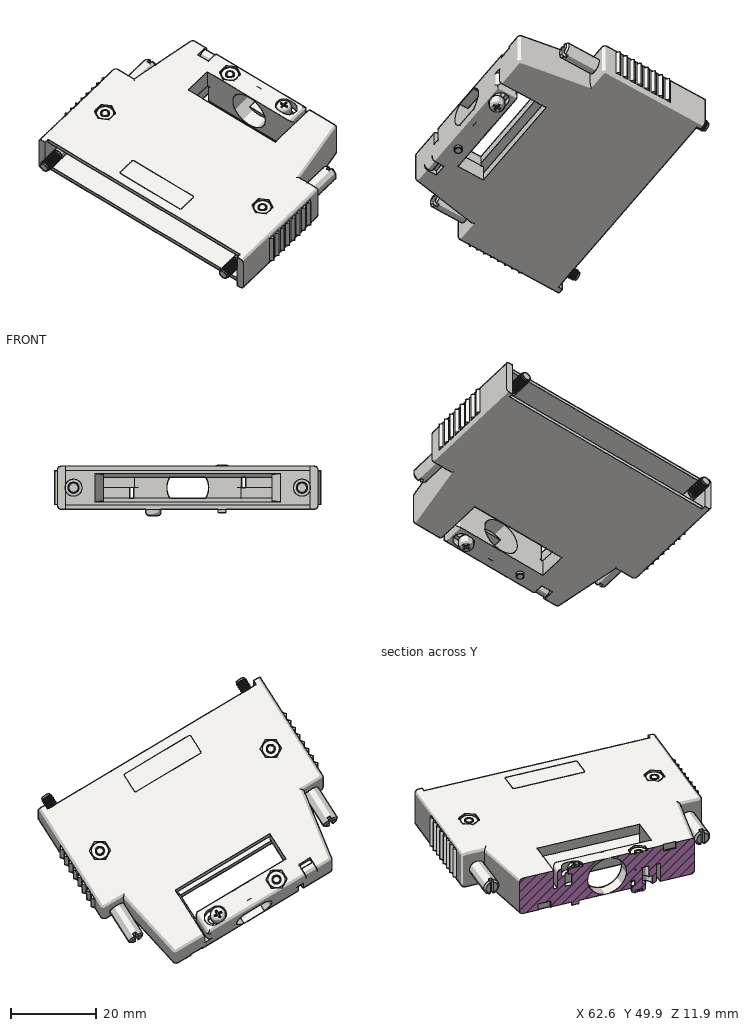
import cadquery as cq
import math


HALF_WIDTH = 30.65
LENGTH = 47.0
THICKNESS = 10.2
SHOULDER_Y = 28.9
NECK_HALF_WIDTH_FRONT = 24.95
NECK_HALF_WIDTH_BACK = 21.8
EDGE_RADIUS = 1.0
SPLIT_Z = THICKNESS / 2

LIP_LENGTH = 1.1
MOUTH_HALF_WIDTH = 28.8
PLATE_THICKNESS = 1.05
PARTITION_Y = 7.45

CAVITY_HALF_WIDTH_FRONT = 21.8
CAVITY_HALF_WIDTH_BACK = 19.85
CAVITY_HALF_HEIGHT_FRONT = 3.3
CAVITY_HALF_HEIGHT_BACK = 2.45
CAVITY_MOUTH_LENGTH = 2.0
CAVITY_SLOPE_LENGTH = 7.2
CAVITY_FLANK_LENGTH = 5.6

WINDOW_FRONT_Y = 33.65
WINDOW_BACK_Y = 40.85
WINDOW_FIXED_X = 12.5
WINDOW_OPEN_X = 13.6
BRIDGE_END_X = 12.7
CABLE_DIAMETER = 9.75
CABLE_LAND_LENGTH = 2.3
CABLE_LAND_Z = 1.1

NOTCH_X = -15.95
NOTCH_WIDTH = 3.1
NOTCH_LENGTH = 3.4
NOTCH_DEPTH = 1.7
SNAP_RADIUS = 1.25

GRIP_REACH = 31.3
GRIP_BASE = 1.5
GRIP_COUNT = 8
GRIP_PITCH = 2.0
GRIP_FIRST_Y = 10.7
GRIP_BOTTOM_Z = 1.1
GRIP_TOP_Z = 9.15

JACK_X = 26.85
JACK_HEAD_DIAMETER = 3.9
JACK_HEAD_END_Y = 37.9
JACK_HEAD_CHAMFER = 0.45
JACK_SLOT_WIDTH = 0.8
JACK_SLOT_DEPTH = 1.2
JACK_CLEARANCE_DIAMETER = 4.0
JACK_CLEARANCE_DEPTH = 0.6
JACK_THREAD_DIAMETER = 2.6
JACK_ROOT_DIAMETER = 2.2
JACK_TIP_Y = -2.9
JACK_TIP_LENGTH = 0.45
JACK_THREAD_LENGTH = 4.8
JACK_THREAD_PITCH = 0.55

COVER_NUT_X = 23.6
COVER_NUT_Y = 16.15
CLAMP_SCREW_X = 8.1
CLAMP_SCREW_Y = 43.85
NUT_FLATS = 4.3
NUT_RECESS = 0.4
NUT_CHAMFER_HEIGHT = 0.25
NUT_FACE_DIAMETER = 4.0
NUT_BORE_DIAMETER = 2.1
NUT_SCREW_DIAMETER = 1.6
NUT_BORE_DEPTH = 0.3
CLAMP_HEAD_DIAMETER = 3.6
CLAMP_HEAD_HEIGHT = 2.25
CLAMP_HEAD_ROUND = 0.8
CLAMP_SHANK_DIAMETER = 1.95
CLAMP_TIP_CHAMFER = 0.2
UPPER_HEAD_TOP_Z = 10.4
UPPER_SHANK_END_Z = -0.9
LOWER_HEAD_TOP_Z = -1.5
CROSS_LENGTH = 1.9
CROSS_WIDTH = 0.4
CROSS_DEPTH = 0.6
SLOT_WIDTH = 4.0
SLOT_LENGTH = 5.4
SLOT_CENTER_X = 8.8
SLOT_FLOOR_DEPTH = 2.05
SHANK_SLOT_WIDTH = 2.2

LABEL_LENGTH = 18.3
LABEL_WIDTH = 5.05
LABEL_Y = 5.95
LABEL_CORNER = 0.3
LABEL_DEPTH = 0.05


def box(x_range, y_range, z_range):
    """Box between pairs of X, Y and Z limits."""
    size = [high - low for low, high in (x_range, y_range, z_range)]
    return cq.Workplane("XY").box(*size, centered=False).translate((x_range[0], y_range[0], z_range[0]))


def turn_over(body):
    """Turn a feature of the upper half shell over onto the lower one."""
    return body.rotate((0, 0, SPLIT_Z), (0, 1, SPLIT_Z), 180)


def mirror_x(body):
    """A body together with its mirror image across the centre plane."""
    return body.union(body.mirror("YZ"))


def make_shell():
    right_side = [
        (HALF_WIDTH, 0),
        (HALF_WIDTH, SHOULDER_Y),
        (NECK_HALF_WIDTH_FRONT, SHOULDER_Y),
        (NECK_HALF_WIDTH_BACK, LENGTH),
    ]
    left_side = [(-x, y) for x, y in reversed(right_side)]
    shell = cq.Workplane("XY").polyline(right_side + left_side).close().extrude(THICKNESS)

    corners = [right_side[1], right_side[3], left_side[0], left_side[2]]
    rounded = shell.faces("|Z").edges("not(<Y)")
    for x, y in corners:
        rounded = rounded.add(shell.edges(cq.NearestToPointSelector((x, y, SPLIT_Z))))
    return rounded.fillet(EDGE_RADIUS)


def make_mouth():
    chamber = box(
        (-MOUTH_HALF_WIDTH, MOUTH_HALF_WIDTH),
        (0, PARTITION_Y),
        (PLATE_THICKNESS, THICKNESS - PLATE_THICKNESS),
    )
    setback = box((-MOUTH_HALF_WIDTH, MOUTH_HALF_WIDTH), (0, LIP_LENGTH), (0, THICKNESS))
    return chamber.union(setback)


def make_cavity():
    """Cavity narrowing towards the window; each half shell has one short and one long flank."""
    mouth_end_y = PARTITION_Y + CAVITY_MOUTH_LENGTH
    slope_end_y = PARTITION_Y + CAVITY_SLOPE_LENGTH
    flank_y = WINDOW_FRONT_Y - CAVITY_FLANK_LENGTH

    plan = [
        (CAVITY_HALF_WIDTH_FRONT, PARTITION_Y),
        (CAVITY_HALF_WIDTH_BACK, mouth_end_y),
        (CAVITY_HALF_WIDTH_BACK, flank_y),
        (WINDOW_OPEN_X, WINDOW_FRONT_Y),
        (-WINDOW_FIXED_X, WINDOW_FRONT_Y),
        (-CAVITY_HALF_WIDTH_BACK, flank_y),
        (-CAVITY_HALF_WIDTH_BACK, mouth_end_y),
        (-CAVITY_HALF_WIDTH_FRONT, PARTITION_Y),
    ]
    upper = cq.Workplane("XY", origin=(0, 0, SPLIT_Z)).polyline(plan).close().extrude(SPLIT_Z)
    side_profile = [
        (PARTITION_Y, CAVITY_HALF_HEIGHT_FRONT),
        (slope_end_y, CAVITY_HALF_HEIGHT_BACK),
        (WINDOW_FRONT_Y, CAVITY_HALF_HEIGHT_BACK),
        (WINDOW_FRONT_Y, -CAVITY_HALF_HEIGHT_BACK),
        (slope_end_y, -CAVITY_HALF_HEIGHT_BACK),
        (PARTITION_Y, -CAVITY_HALF_HEIGHT_FRONT),
    ]
    height_limit = cq.Workplane("YZ", origin=(0, 0, SPLIT_Z)).polyline(side_profile).close()
    return upper.union(turn_over(upper)).intersect(height_limit.extrude(HALF_WIDTH, both=True))


def make_window():
    """Window of the upper half, with the gap that frees the end of the clamp bridge."""
    opening = box((-WINDOW_FIXED_X, WINDOW_OPEN_X), (WINDOW_FRONT_Y, LENGTH), (SPLIT_Z, THICKNESS))
    bridge = box((-HALF_WIDTH, BRIDGE_END_X), (WINDOW_BACK_Y, LENGTH), (0, THICKNESS))
    bridge = bridge.edges(">X and (|Z or >Z)").fillet(EDGE_RADIUS)
    return opening.cut(bridge)


def make_cable_hole():
    """Cable passage, flattened above and below by a grip land at the cable end."""
    radius = CABLE_DIAMETER / 2
    hole = (
        cq.Workplane("XZ", origin=(0, WINDOW_FRONT_Y, SPLIT_Z))
        .circle(radius)
        .extrude(WINDOW_FRONT_Y - LENGTH)
    )
    land = box((-radius, radius), (LENGTH - CABLE_LAND_LENGTH, LENGTH), (0, CABLE_LAND_Z))
    return hole.cut(land).cut(turn_over(land))


def make_notch():
    """Snap notch whose floor carries a round bar at the cable end."""
    floor_z = THICKNESS - NOTCH_DEPTH
    x_range = (NOTCH_X - NOTCH_WIDTH / 2, NOTCH_X + NOTCH_WIDTH / 2)
    notch = box(x_range, (LENGTH - NOTCH_LENGTH, LENGTH), (floor_z, THICKNESS))
    bar = (
        cq.Workplane("YZ", origin=(x_range[0], LENGTH - SNAP_RADIUS, floor_z))
        .circle(SNAP_RADIUS)
        .extrude(NOTCH_WIDTH)
    )
    return notch.cut(bar)


def make_grips():
    """Triangular ribs up the right side."""
    grips = cq.Workplane("XY")
    for index in range(GRIP_COUNT):
        y = GRIP_FIRST_Y + index * GRIP_PITCH
        profile = [
            (MOUTH_HALF_WIDTH, y - GRIP_BASE / 2),
            (HALF_WIDTH, y - GRIP_BASE / 2),
            (GRIP_REACH, y),
            (HALF_WIDTH, y + GRIP_BASE / 2),
            (MOUTH_HALF_WIDTH, y + GRIP_BASE / 2),
        ]
        rib = cq.Workplane("XY", origin=(0, 0, GRIP_BOTTOM_Z)).polyline(profile).close()
        grips = grips.union(rib.extrude(GRIP_TOP_Z - GRIP_BOTTOM_Z))
    return grips


def make_jack_clearance():
    return (
        cq.Workplane("XZ", origin=(JACK_X, PARTITION_Y, SPLIT_Z))
        .circle(JACK_CLEARANCE_DIAMETER / 2)
        .extrude(-JACK_CLEARANCE_DEPTH)
    )


def make_jack_screw():
    """Jack screw turned about an axis along Y: ridged tip, plain shank and slotted head."""
    root = JACK_ROOT_DIAMETER / 2
    crest = JACK_THREAD_DIAMETER / 2
    head = JACK_HEAD_DIAMETER / 2
    shank_end_y = SHOULDER_Y - EDGE_RADIUS
    thread_start_y = JACK_TIP_Y + JACK_TIP_LENGTH

    outline = [(0, JACK_TIP_Y), (root, JACK_TIP_Y)]
    for index in range(int(JACK_THREAD_LENGTH / JACK_THREAD_PITCH)):
        ridge_y = thread_start_y + index * JACK_THREAD_PITCH
        outline.append((root, ridge_y))
        outline.append((crest, ridge_y + JACK_THREAD_PITCH / 4))
        outline.append((crest, ridge_y + JACK_THREAD_PITCH / 2))
        outline.append((root, ridge_y + JACK_THREAD_PITCH * 3 / 4))
    outline += [
        (root, thread_start_y + JACK_THREAD_LENGTH),
        (crest, thread_start_y + JACK_THREAD_LENGTH),
        (crest, shank_end_y),
        (head, shank_end_y),
        (head, JACK_HEAD_END_Y - JACK_HEAD_CHAMFER),
        (head - JACK_HEAD_CHAMFER, JACK_HEAD_END_Y),
        (0, JACK_HEAD_END_Y),
    ]
    screw = cq.Workplane("XY").polyline(outline).close().revolve(360, (0, 0, 0), (0, 1, 0))
    slot = box(
        (-JACK_SLOT_WIDTH / 2, JACK_SLOT_WIDTH / 2),
        (JACK_HEAD_END_Y - JACK_SLOT_DEPTH, JACK_HEAD_END_Y),
        (-head, head),
    )
    return screw.cut(slot).translate((JACK_X, 0, SPLIT_Z))


def make_nut_pocket(x, y):
    """Hexagonal pocket above a chamfered nut, with a ring gap around the screw end in the nut."""
    corner_radius = NUT_FLATS / 2 / math.cos(math.pi / 6)
    pocket_depth = NUT_RECESS + NUT_CHAMFER_HEIGHT
    top = cq.Workplane("XY", origin=(x, y, THICKNESS))
    pocket = top.transformed(rotate=(0, 0, 90)).polygon(6, 2 * corner_radius).extrude(-pocket_depth)
    nut_chamfer = (
        top.workplane(offset=-pocket_depth)
        .circle(corner_radius)
        .workplane(offset=NUT_CHAMFER_HEIGHT)
        .circle(NUT_FACE_DIAMETER / 2)
        .loft()
    )
    bore = (
        top.workplane(offset=-NUT_RECESS)
        .circle(NUT_BORE_DIAMETER / 2)
        .circle(NUT_SCREW_DIAMETER / 2)
        .extrude(-NUT_BORE_DEPTH)
    )
    return pocket.cut(nut_chamfer).union(bore)


def make_screw_slot():
    """Stepped oval pocket for a clamp screw, sunk from the top face."""
    shank_slot_length = SLOT_LENGTH - SLOT_WIDTH + SHANK_SLOT_WIDTH
    top = cq.Workplane("XY", origin=(SLOT_CENTER_X, CLAMP_SCREW_Y, THICKNESS))
    head_slot = top.slot2D(SLOT_LENGTH, SLOT_WIDTH).extrude(-SLOT_FLOOR_DEPTH)
    shank_slot = top.slot2D(shank_slot_length, SHANK_SLOT_WIDTH).extrude(SPLIT_Z - THICKNESS)
    return head_slot.union(shank_slot)


def make_clamp_screw(length):
    """Cross-recessed pan head screw with its head top at Z = 0 and its shank pointing down."""
    head = (
        cq.Workplane("XY")
        .circle(CLAMP_HEAD_DIAMETER / 2)
        .extrude(-CLAMP_HEAD_HEIGHT)
        .faces(">Z")
        .edges()
        .fillet(CLAMP_HEAD_ROUND)
    )
    shank = cq.Workplane("XY").circle(CLAMP_SHANK_DIAMETER / 2).extrude(-length)
    shank = shank.faces("<Z").chamfer(CLAMP_TIP_CHAMFER)
    bar = cq.Workplane("XY").rect(CROSS_LENGTH, CROSS_WIDTH).extrude(-CROSS_DEPTH)
    cross = bar.union(bar.rotate((0, 0, 0), (0, 0, 1), 90))
    return head.union(shank).cut(cross)


def make_label():
    label = cq.Workplane("XY", origin=(0, LABEL_Y, THICKNESS)).rect(LABEL_LENGTH, LABEL_WIDTH)
    return label.extrude(-LABEL_DEPTH).edges("|Z").fillet(LABEL_CORNER)


hood = make_shell().union(mirror_x(make_grips()))
hood = hood.cut(make_mouth()).cut(make_cavity()).cut(make_cable_hole())

for feature in (make_window(), make_notch(), make_screw_slot()):
    hood = hood.cut(feature).cut(turn_over(feature))

for nut_x, nut_y in (
    (-COVER_NUT_X, COVER_NUT_Y),
    (COVER_NUT_X, COVER_NUT_Y),
    (-CLAMP_SCREW_X, CLAMP_SCREW_Y),
):
    hood = hood.cut(make_nut_pocket(nut_x, nut_y))
hood = hood.cut(make_label())

hood = hood.cut(mirror_x(make_jack_clearance())).union(mirror_x(make_jack_screw()))

screw_length = UPPER_HEAD_TOP_Z - UPPER_SHANK_END_Z
upper_screw = make_clamp_screw(screw_length).translate((CLAMP_SCREW_X, CLAMP_SCREW_Y, UPPER_HEAD_TOP_Z))
lower_screw = (
    make_clamp_screw(SPLIT_Z - LOWER_HEAD_TOP_Z)
    .rotate((0, 0, 0), (0, 1, 0), 180)
    .translate((-CLAMP_SCREW_X, CLAMP_SCREW_Y, LOWER_HEAD_TOP_Z))
)
result = hood.union(upper_screw).union(lower_screw)